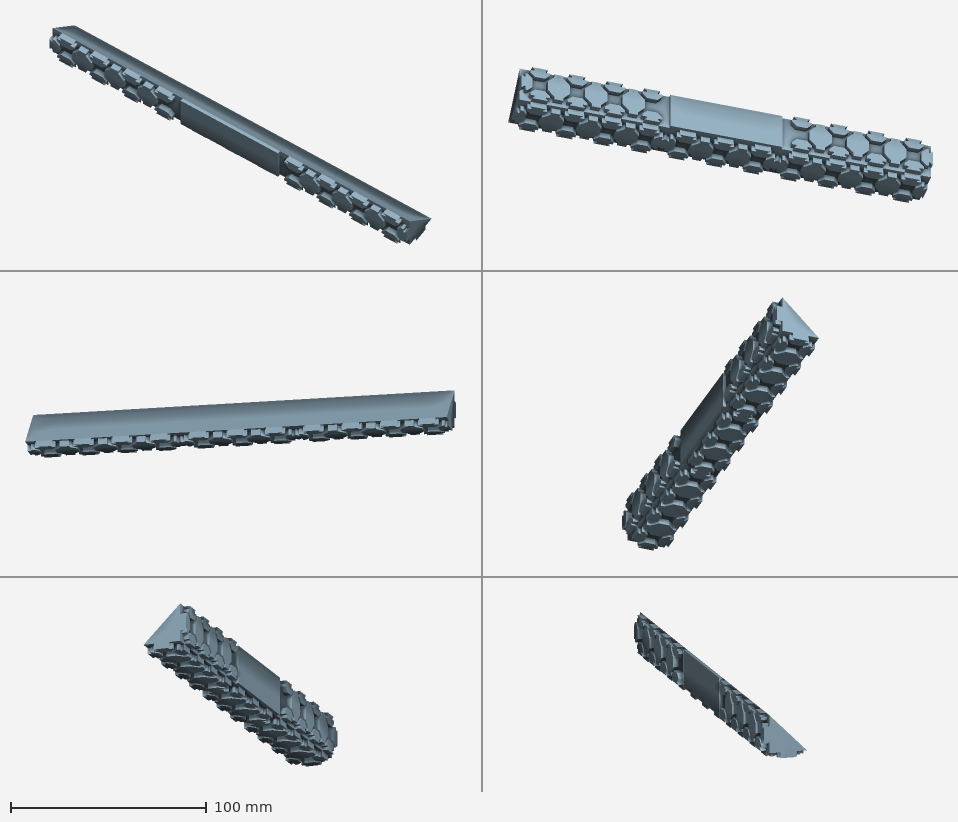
import cadquery as cq

LENGTH = 220.0
HEIGHT = 23.0
CELL_COUNT = 11
END_SECTION_CELLS = 4
MIDDLE_SECTION_CELLS = CELL_COUNT - 2 * END_SECTION_CELLS
CELL = LENGTH / CELL_COUNT
SECTION_EDGES = (END_SECTION_CELLS, END_SECTION_CELLS + MIDDLE_SECTION_CELLS)

RELIEF = HEIGHT - CELL
PANEL_THICKNESS = 1.8

NECK_LENGTH = 2.0
LUG_LENGTH = 6.0
LUG_WIDTH = 10.5
NECK_WIDTH = 6.0
ROOT_WIDTH = 8.5
SHOULDER_LENGTH = 1.4
ROOT_FLARE = (ROOT_WIDTH - NECK_WIDTH) / 2
SHOULDER_END = NECK_LENGTH + SHOULDER_LENGTH
TIP_WIDTH = LUG_WIDTH - 2 * (LUG_LENGTH - SHOULDER_END)

OCTAGON_WIDTH = 2 * LUG_LENGTH
OCTAGON_HEIGHT = CELL - 2 * NECK_LENGTH
OCTAGON_TOP_WIDTH = 4.8
OCTAGON_NECK_LENGTH = 1.8
OCTAGON_CORNER = (OCTAGON_WIDTH - OCTAGON_TOP_WIDTH) / 2


def lug_outline(base, inward):
    """Outline of a lug rooted at `base` and growing along the unit vector `inward`."""
    half_profile = [
        (0, ROOT_WIDTH / 2),
        (ROOT_FLARE, NECK_WIDTH / 2),
        (NECK_LENGTH, NECK_WIDTH / 2),
        (NECK_LENGTH, LUG_WIDTH / 2),
        (SHOULDER_END, LUG_WIDTH / 2),
        (LUG_LENGTH, TIP_WIDTH / 2),
    ]
    mirrored = [(depth, -side) for depth, side in reversed(half_profile)]
    along_x, along_y = inward
    return [
        (base[0] + depth * along_x - side * along_y, base[1] + depth * along_y + side * along_x)
        for depth, side in half_profile + mirrored
    ]


def octagon_outline(center_x):
    """Outline of an octagon with short straight necks at its top and bottom."""
    half_top = OCTAGON_TOP_WIDTH / 2
    half_width = OCTAGON_WIDTH / 2
    half_height = OCTAGON_HEIGHT / 2
    neck = half_height - OCTAGON_NECK_LENGTH
    side = neck - OCTAGON_CORNER
    upper_right = [(half_width, side), (half_top, neck), (half_top, half_height)]
    upper = upper_right + [(-x, y) for x, y in reversed(upper_right)]
    points = upper + [(-x, -y) for x, y in upper]
    return [(center_x + x, CELL / 2 + y) for x, y in points]


def section_outlines(first, last, lug_at_first, lug_at_last):
    """Pattern outlines for the row of cells between cell edges `first` and `last`."""
    outlines = []
    for cell in range(first, last):
        middle = (cell + 0.5) * CELL
        outlines.append(lug_outline((middle, 0), (0, 1)))
        outlines.append(lug_outline((middle, CELL), (0, -1)))
    for edge in range(first + 1, last):
        outlines.append(octagon_outline(edge * CELL))
    if lug_at_first:
        outlines.append(lug_outline((first * CELL, CELL / 2), (1, 0)))
    if lug_at_last:
        outlines.append(lug_outline((last * CELL, CELL / 2), (-1, 0)))
    return outlines


def add_pattern(body, plane, height, outlines):
    """Extrude each outline from `plane` and join it to the body."""
    for outline in outlines:
        body = body.union(cq.Workplane(plane).polyline(outline).close().extrude(height))
    return body


bar = cq.Workplane("YZ").polyline([(0, 0), (CELL, 0), (0, CELL)]).close().extrude(LENGTH)

panel_start = SECTION_EDGES[0] * CELL
panel = cq.Workplane("XY").box(
    MIDDLE_SECTION_CELLS * CELL, PANEL_THICKNESS, CELL, centered=False
).translate((panel_start, -PANEL_THICKNESS, 0))
result = bar.union(panel)

front_outlines = section_outlines(0, SECTION_EDGES[0], True, False)
front_outlines += section_outlines(SECTION_EDGES[1], CELL_COUNT, False, True)
result = add_pattern(result, "XZ", RELIEF, front_outlines)

bottom_outlines = section_outlines(0, SECTION_EDGES[0], True, True)
bottom_outlines += section_outlines(SECTION_EDGES[0], SECTION_EDGES[1], True, True)
bottom_outlines += section_outlines(SECTION_EDGES[1], CELL_COUNT, True, True)
result = add_pattern(result, "XY", -RELIEF, bottom_outlines)